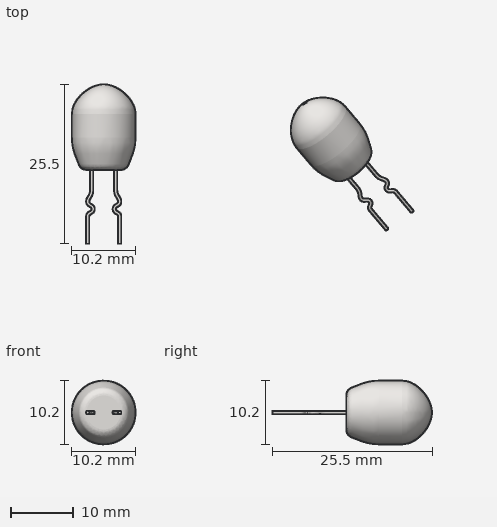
import cadquery as cq
import math

body_diameter = 10.2
body_radius = body_diameter / 2
body_length = 13.7
band_start = 5.22
band_end = 8.9
dome_chord = math.hypot(body_radius, body_length - band_end)
dome_handle = dome_chord / 3
base_radius = 3.65
base_flare = 0.35
base_fillet = 1.37

overall_length = 25.45
wire_diameter = 0.55
lead_tip = body_length - overall_length
inner_offset = 1.9
outer_offset = 2.55
pinch_offset = 1.68
crimp_start = -3.13
outward_bend = -5.05
inward_bend = -6.2
crimp_end = -7.38
leave_handle = 1.07
arrive_handle = 0.65
embed_depth = 1.02


def make_body():
    """Revolve the domed and tapered half outline, then round the lead-face edge."""
    outline = (
        cq.Workplane("XY")
        .lineTo(base_radius, 0)
        .spline(
            [(body_radius, band_start)],
            tangents=[(base_flare, 1), (0, 1)],
            includeCurrent=True,
        )
        .lineTo(body_radius, band_end)
        .bezier(
            [
                (body_radius, band_end + dome_handle),
                (dome_handle, body_length),
                (0, body_length),
            ],
            includeCurrent=True,
        )
        .close()
    )
    solid = outline.revolve(360, (0, 0, 0), (0, 1, 0))
    return solid.faces("<Y").edges().fillet(base_fillet)


def make_lead(side):
    """Sweep the round wire along its crimped path; side is +1 or -1 along X."""
    straight = (0, -1)
    path = (
        cq.Workplane("XY")
        .moveTo(side * inner_offset, embed_depth)
        .lineTo(side * inner_offset, crimp_start)
        .bezier(
            [
                (side * inner_offset, crimp_start - leave_handle),
                (side * outer_offset, outward_bend + arrive_handle),
                (side * outer_offset, outward_bend),
            ],
            includeCurrent=True,
        )
    )
    pinch_points = [
        (pinch_offset, inward_bend),
        (outer_offset, crimp_end),
    ]
    for offset, y in pinch_points:
        path = path.spline(
            [(side * offset, y)],
            tangents=[straight, straight],
            includeCurrent=True,
        )
    path = path.lineTo(side * outer_offset, lead_tip)
    section = cq.Workplane("XZ", origin=(side * inner_offset, embed_depth, 0))
    return section.circle(wire_diameter / 2).sweep(path)


result = make_body()
for side in (-1, 1):
    result = result.union(make_lead(side))